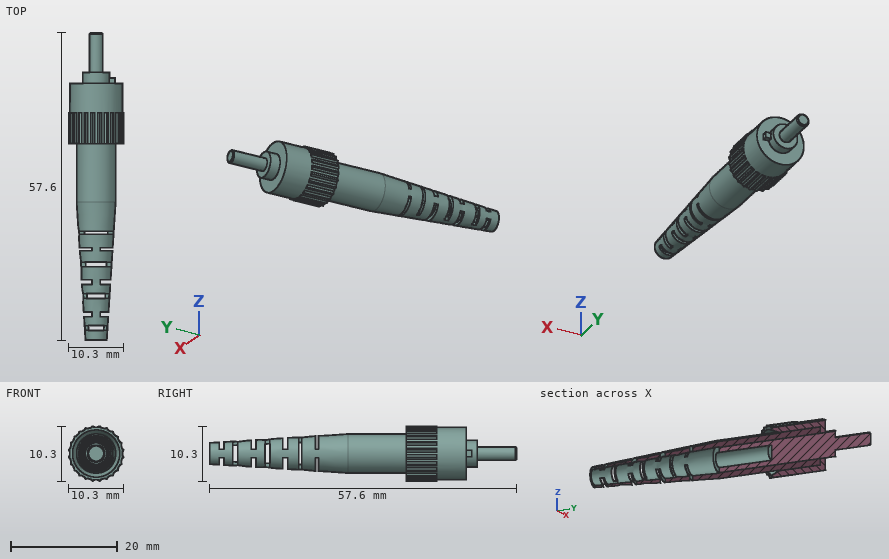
import cadquery as cq
import math

LENGTH = 57.65
TIP_Y = LENGTH / 2

FERRULE_RADIUS = 1.25
FERRULE_CHAMFER = 0.25
STEM_RADIUS = 2.55
STEM_START = 7.4
CABLE_BORE_RADIUS = 1.45
CABLE_BORE_END = 20.75
KEY_START = 8.4
KEY_REACH = 3.6
KEY_WIDTH = 1.15

NUT_START = 9.45
KNURL_START = 15.0
NUT_END = 20.75
NUT_RADIUS = 4.95
NUT_WALL = 1.15
NUT_MOUTH_RADIUS = 4.45
MOUTH_DEPTH = 1.75
KNURL_WIDTH = 10.3
TOOTH_COUNT = 24
TOOTH_PITCH = 360 / TOOTH_COUNT
TOOTH_BASE_ANGLE = 9.0
TOOTH_ROOT_SINK = 0.2

BOOT_START = NUT_START + NUT_WALL
BOOT_RADIUS = 3.7
CONE_START = 31.7
TAIL_RADIUS = 2.0
TAIL_BORE_RADIUS = 1.55
BRIDGE_WIDTH = 1.6
NARROW_SLOT = 0.5
WIDE_SLOT = 0.85
SLOTS = [
    (37.25, NARROW_SLOT),
    (40.35, NARROW_SLOT),
    (43.0, WIDE_SLOT),
    (46.35, WIDE_SLOT),
    (48.95, WIDE_SLOT),
    (52.4, WIDE_SLOT),
    (54.95, WIDE_SLOT),
]


def station_y(station):
    """Y coordinate of a distance behind the ferrule tip."""
    return TIP_Y - station


def turned(profile):
    """Solid of revolution about Y from (radius, station) points."""
    points = [(radius, station_y(station)) for radius, station in profile]
    return cq.Workplane("XY").polyline(points).close().revolve(360, (0, 0, 0), (0, 1, 0))


def axial_box(x_min, x_max, z_size, start, end):
    """Box centred on Z = 0 between two stations."""
    box = cq.Workplane("XY").box(x_max - x_min, end - start, z_size)
    return box.translate(((x_min + x_max) / 2, station_y((start + end) / 2), 0))


def make_ferrule_body():
    """Ferrule and stem turned in one piece, with a key resting on the nut face."""
    body = turned([
        (0, 0),
        (FERRULE_RADIUS - FERRULE_CHAMFER, 0),
        (FERRULE_RADIUS, FERRULE_CHAMFER),
        (FERRULE_RADIUS, STEM_START),
        (STEM_RADIUS, STEM_START),
        (STEM_RADIUS, CONE_START),
        (CABLE_BORE_RADIUS, CONE_START),
        (CABLE_BORE_RADIUS, CABLE_BORE_END),
        (0, CABLE_BORE_END),
    ])
    key = axial_box(0, KEY_REACH, KEY_WIDTH, KEY_START, NUT_START)
    return body.union(key)


def make_knurl_tooth():
    """One triangular tooth, its crest half a pitch away from the X axis."""
    crest_radius = KNURL_WIDTH / 2 / math.cos(math.radians(TOOTH_PITCH / 2))
    root_radius = NUT_RADIUS - TOOTH_ROOT_SINK
    crest_angle = TOOTH_PITCH / 2
    half_base = TOOTH_BASE_ANGLE / 2
    corners = [
        (root_radius, crest_angle - half_base),
        (NUT_RADIUS, crest_angle - half_base),
        (crest_radius, crest_angle),
        (NUT_RADIUS, crest_angle + half_base),
        (root_radius, crest_angle + half_base),
    ]
    points = [
        (radius * math.cos(math.radians(angle)), radius * math.sin(math.radians(angle)))
        for radius, angle in corners
    ]
    plane = cq.Workplane("XZ", origin=(0, station_y(KNURL_START), 0))
    return plane.polyline(points).close().extrude(NUT_END - KNURL_START)


def make_nut():
    """Sleeve with a tapered rear mouth, a front wall around the stem and a knurled grip."""
    nut = turned([
        (STEM_RADIUS, NUT_START),
        (NUT_RADIUS, NUT_START),
        (NUT_RADIUS, NUT_END),
        (NUT_MOUTH_RADIUS, NUT_END),
        (BOOT_RADIUS, NUT_END - MOUTH_DEPTH),
        (BOOT_RADIUS, BOOT_START),
        (STEM_RADIUS, BOOT_START),
    ])
    tooth = make_knurl_tooth()
    for index in range(TOOTH_COUNT):
        nut = nut.union(tooth.rotate((0, 0, 0), (0, 1, 0), index * TOOTH_PITCH))
    return nut


def make_slot_pair(start, width):
    """Two facing cutters above and below the bridges that stay at +X and -X."""
    end = start + width
    slab = axial_box(-BOOT_RADIUS, BOOT_RADIUS, 2 * BOOT_RADIUS, start, end)
    bridges = axial_box(-BOOT_RADIUS, BOOT_RADIUS, BRIDGE_WIDTH, start, end)
    return slab.cut(bridges)


def make_boot():
    """Hollow boot, straight over the stem and then conical, with flexing slots."""
    boot = turned([
        (STEM_RADIUS, BOOT_START),
        (BOOT_RADIUS, BOOT_START),
        (BOOT_RADIUS, CONE_START),
        (TAIL_RADIUS, LENGTH),
        (TAIL_BORE_RADIUS, LENGTH),
        (STEM_RADIUS, CONE_START),
    ])
    for index, (start, width) in enumerate(SLOTS):
        slots = make_slot_pair(start, width).rotate((0, 0, 0), (0, 1, 0), 90 * (index % 2))
        boot = boot.cut(slots)
    return boot


ferrule_body = make_ferrule_body()
coupling_nut = make_nut()
boot = make_boot()

result = cq.Compound.makeCompound([ferrule_body.val(), coupling_nut.val(), boot.val()])